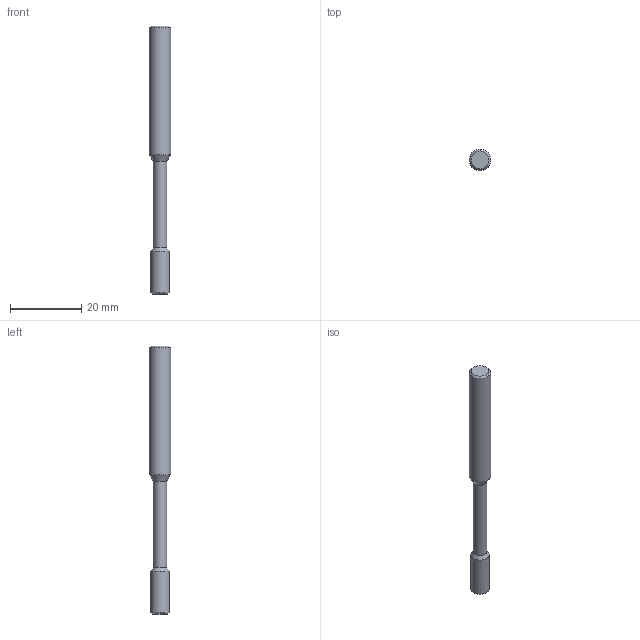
import cadquery as cq

total_length = 75.0
shank_radius = 3.0
neck_radius = 1.9
head_radius = 2.55

head_length = 12.0
head_taper_length = 1.05
shank_length = 36.0
shank_taper_length = 1.9

shank_chamfer = 0.5
tip_chamfer_width = 0.55
tip_chamfer_height = 0.3

neck_start = head_length + head_taper_length
shank_start = total_length - shank_length
neck_end = shank_start - shank_taper_length

half_profile = (
    cq.Workplane("XZ")
    .lineTo(head_radius - tip_chamfer_width, 0)
    .lineTo(head_radius, tip_chamfer_height)
    .lineTo(head_radius, head_length)
    .lineTo(neck_radius, neck_start)
    .lineTo(neck_radius, neck_end)
    .lineTo(shank_radius, shank_start)
    .lineTo(shank_radius, total_length - shank_chamfer)
    .lineTo(shank_radius - shank_chamfer, total_length)
    .lineTo(0, total_length)
    .close()
)

result = half_profile.revolve(360, (0, 0), (0, 1))